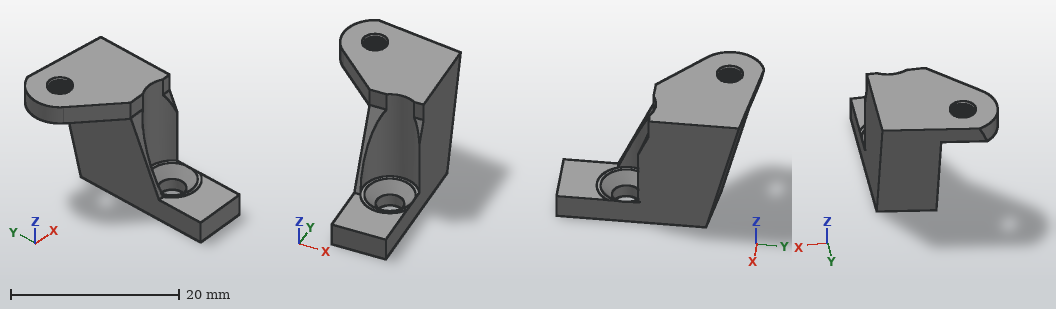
import cadquery as cq
import math

width = 7.03
height = 15.5
foot_length = 6.56
foot_height = 3.02
plate_front = 11.02
slope_top = 13.15
plate_thickness = 2.48
plate_bottom = height - plate_thickness

ear_x = -3.07
ear_y = 19.5
ear_radius = 4.15

length = 23.45
back_corner_x = ear_x - math.sqrt(ear_radius**2 - (length - ear_y) ** 2)
back_right_y = 21.85
back_lean = 0.255

screw_x = 4.0
screw_y = 8.0
screw_diameter = 3.4
countersink_diameter = 6.1
countersink_depth = (countersink_diameter - screw_diameter) / 2
head_clearance_diameter = 7.03
head_seat_depth = 0.02
head_seat = foot_height - head_seat_depth

thread_minor_diameter = 2.6
thread_major_diameter = 3.0
thread_mouth_diameter = 3.1
thread_pitch = 0.5
thread_turns = 4
thread_runout = 0.2
thread_crest_overlap = 0.02
thread_groove_mouth = 0.38
thread_groove_floor = 0.07


def make_column():
    """Foot and leaning column, long enough to be trimmed by the back face."""
    outline = [
        (0, 0),
        (length, 0),
        (length, height),
        (plate_front, height),
        (plate_front, slope_top),
        (foot_length, foot_height),
        (0, foot_height),
    ]
    return cq.Workplane("YZ").polyline(outline).close().extrude(width)


def make_plate():
    """Top plate whose front edge is tangent to the rounded ear."""
    corner_distance = math.hypot(ear_x, plate_front - ear_y)
    corner_angle = math.atan2(plate_front - ear_y, -ear_x)
    tangent_angle = corner_angle - math.acos(ear_radius / corner_distance)
    tangent_point = (
        ear_x + ear_radius * math.cos(tangent_angle),
        ear_y + ear_radius * math.sin(tangent_angle),
    )
    ear_left = (ear_x - ear_radius, ear_y)
    ear_back = (ear_x, ear_y + ear_radius)
    return (
        cq.Workplane("XY", origin=(0, 0, plate_bottom))
        .moveTo(0, plate_front)
        .lineTo(*tangent_point)
        .threePointArc(ear_left, ear_back)
        .lineTo(width, ear_back[1])
        .lineTo(width, plate_front)
        .close()
        .extrude(plate_thickness)
    )


def make_back_trim():
    """Sheared block behind the back face: one outline at the base, one at the top."""
    margin = 4.69
    skew = (back_right_y - length) / (width - back_corner_x)
    left = ear_x - ear_radius - margin
    right = width + margin
    rear = length + margin

    def section(shift):
        return [
            (left, length + skew * (left - back_corner_x) + shift),
            (right, length + skew * (right - back_corner_x) + shift),
            (right, rear),
            (left, rear),
        ]

    return (
        cq.Workplane("XY")
        .polyline(section(-back_lean * height)).close()
        .workplane(offset=height)
        .polyline(section(0)).close()
        .loft(ruled=True)
    )


def make_screw_hole():
    """Through hole, countersink and the open clearance above the screw head."""
    center = cq.Workplane("XY", origin=(screw_x, screw_y, 0))
    hole = center.circle(screw_diameter / 2).extrude(height)
    clearance = center.workplane(offset=head_seat).circle(head_clearance_diameter / 2).extrude(height)
    countersink = cq.Workplane("XY").add(
        cq.Solid.makeCone(
            screw_diameter / 2,
            countersink_diameter / 2,
            countersink_depth,
            cq.Vector(screw_x, screw_y, head_seat - countersink_depth),
        )
    )
    return hole.union(countersink).union(clearance)


def make_thread_bore():
    """Plain bore at the minor diameter with a chamfered mouth."""
    bore = (
        cq.Workplane("XY", origin=(ear_x, ear_y, plate_bottom))
        .circle(thread_minor_diameter / 2)
        .extrude(plate_thickness)
    )
    chamfer_depth = (thread_mouth_diameter - thread_minor_diameter) / 2
    mouth = cq.Solid.makeCone(
        thread_minor_diameter / 2,
        thread_mouth_diameter / 2,
        chamfer_depth,
        cq.Vector(ear_x, ear_y, height - chamfer_depth),
    )
    return bore.union(cq.Workplane("XY").add(mouth))


def make_thread_groove():
    """Helical groove from just above the underside up into the chamfer."""
    inner = thread_minor_diameter / 2 - thread_crest_overlap
    outer = thread_major_diameter / 2
    start = plate_bottom + thread_runout
    helix = cq.Wire.makeHelix(
        thread_pitch, thread_turns * thread_pitch, inner, cq.Vector(ear_x, ear_y, start)
    )
    return (
        cq.Workplane("XZ", origin=(ear_x, ear_y, start))
        .polyline([
            (inner, -thread_groove_mouth / 2),
            (outer, -thread_groove_floor / 2),
            (outer, thread_groove_floor / 2),
            (inner, thread_groove_mouth / 2),
        ])
        .close()
        .sweep(cq.Workplane("XY").add(helix), isFrenet=True)
    )


body = make_column().union(make_plate()).cut(make_back_trim())
body = body.cut(make_screw_hole()).cut(make_thread_bore())
result = body.cut(make_thread_groove())